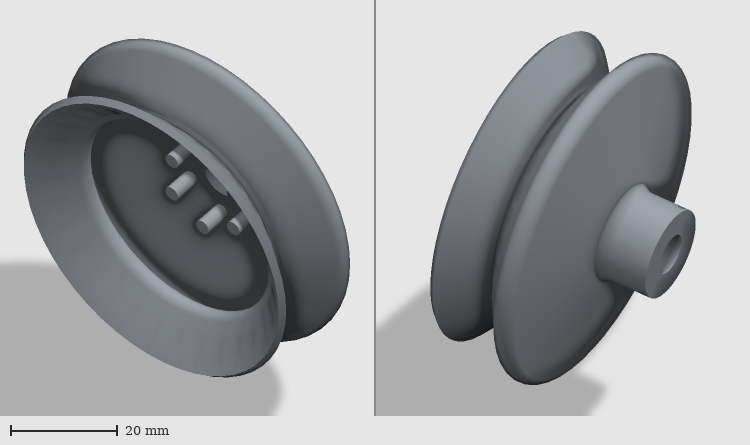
import cadquery as cq
import math

height = 34.0
wall = 1.5

neck_radius = 9.0
bore_radius = 4.0
neck_flare_start_y = 25.6
shoulder_point = (9.9, 23.45)

rim_outer_radius = 33.5
rim_round = 2.25
rim_center = (rim_outer_radius - rim_round, 16.9)

groove_bottom_radius = 23.45
groove_round = 0.8
groove_center = (groove_bottom_radius + groove_round, 8.5)

lip_mouth_radius = 30.5
lip_angle = 41.0

ring_radius = 7.0
ring_y = 21.0

peg_count = 6
peg_radius = 1.5
peg_circle_radius = 8.5
peg_tip_y = 15.3
peg_root_y = ring_y + 1.0

rim_inner_round = rim_round - wall
groove_inner_round = groove_round + wall


def on_circle(center, radius, angle):
    """Point of a circle at an angle (radians) measured from the radial direction."""
    return (center[0] + radius * math.cos(angle), center[1] + radius * math.sin(angle))


def upper_tangent_angle(point, center, radius):
    """Angle where a line from an inboard point touches the neck side of a circle."""
    dr = center[0] - point[0]
    dy = center[1] - point[1]
    slope = math.atan2(dy, dr) + math.asin(radius / math.hypot(dr, dy))
    return slope + math.pi / 2


def fold_tangent_angle():
    """Angle where the cone joining the fold to the groove touches the fold round."""
    dr = rim_center[0] - groove_center[0]
    dy = rim_center[1] - groove_center[1]
    slope = math.atan2(dy, dr) - math.asin((rim_round + groove_round) / math.hypot(dr, dy))
    return slope - math.pi / 2


def make_body():
    fold_angle = fold_tangent_angle()
    groove_fold_angle = fold_angle + math.pi
    groove_lip_angle = math.radians(270 - lip_angle)
    shoulder_angle = upper_tangent_angle(shoulder_point, rim_center, rim_round)
    ceiling_angle = upper_tangent_angle((ring_radius, ring_y), rim_center, rim_inner_round)

    lip_inner = (lip_mouth_radius, 0.0)
    lip_outer = on_circle(lip_inner, wall, math.radians(90 - lip_angle))

    groove_mid_angle = (groove_fold_angle + groove_lip_angle) / 2

    profile = (
        cq.Workplane("XY")
        .moveTo(bore_radius, height)
        .lineTo(neck_radius, height)
        .lineTo(neck_radius, neck_flare_start_y)
        .tangentArcPoint(shoulder_point, relative=False)
        .lineTo(*on_circle(rim_center, rim_round, shoulder_angle))
        .threePointArc(
            on_circle(rim_center, rim_round, 0.0),
            on_circle(rim_center, rim_round, fold_angle),
        )
        .lineTo(*on_circle(groove_center, groove_round, groove_fold_angle))
        .threePointArc(
            on_circle(groove_center, groove_round, groove_mid_angle),
            on_circle(groove_center, groove_round, groove_lip_angle),
        )
        .lineTo(*lip_outer)
        .lineTo(*lip_inner)
        .lineTo(*on_circle(groove_center, groove_inner_round, groove_lip_angle))
        .threePointArc(
            on_circle(groove_center, groove_inner_round, groove_mid_angle),
            on_circle(groove_center, groove_inner_round, groove_fold_angle),
        )
        .lineTo(*on_circle(rim_center, rim_inner_round, fold_angle))
        .threePointArc(
            on_circle(rim_center, rim_inner_round, 0.0),
            on_circle(rim_center, rim_inner_round, ceiling_angle),
        )
        .lineTo(ring_radius, ring_y)
        .lineTo(bore_radius, ring_y)
        .close()
    )
    return profile.revolve(360, (0, 0, 0), (0, 1, 0))


def make_pegs():
    return (
        cq.Workplane("XZ", origin=(0, peg_tip_y, 0))
        .polarArray(peg_circle_radius, 90, 360, peg_count)
        .circle(peg_radius)
        .extrude(peg_tip_y - peg_root_y)
    )


result = make_body().union(make_pegs())